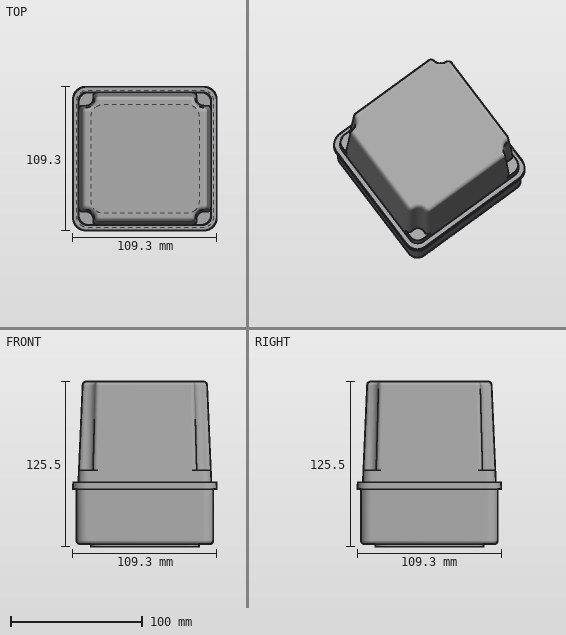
import cadquery as cq
import math

TOTAL_HEIGHT = 125.5
EDGE_RADIUS = 3.0
LID_DRAFT = math.tan(math.radians(2.5))

PAD_WIDTH = 82.2
PAD_HEIGHT = 2.0
PAD_CORNER_RADIUS = 9.0
BASE_WIDTH = 103.9
BASE_CORNER_RADIUS = 8.0
BASE_TOP = 43.8

RIM_WIDTH = 109.3
RIM_HEIGHT = 5.3
RIM_CORNER_RADIUS = 10.0
COVER_WIDTH = 101.0
COVER_CORNER_RADIUS = 7.2
COVER_BOTTOM = BASE_TOP + RIM_HEIGHT

RECESS_FLOOR = 58.0
RECESS_CENTER_X = 44.4
RECESS_CENTER_Y = 45.4
RECESS_RADIUS = 6.9
RECESS_DRAFT = 1.5
RECESS_WIDTH = 30.1


def rounded_prism(width, corner_radius, bottom, height):
    """Upright square block with rounded vertical edges."""
    return (
        cq.Workplane("XY", origin=(0, 0, bottom))
        .rect(width, width)
        .extrude(height)
        .edges("|Z")
        .fillet(corner_radius)
    )


def drafted_block(width, corner_radius, bottom, height):
    """Square block whose walls lean inward while its corner radius stays the same."""
    top_width = width - 2 * height * LID_DRAFT
    lower = cq.Sketch().rect(width, width).vertices().fillet(corner_radius)
    upper = cq.Sketch().rect(top_width, top_width).vertices().fillet(corner_radius)
    return (
        cq.Workplane("XY", origin=(0, 0, bottom))
        .placeSketch(lower, upper.moved(cq.Location(cq.Vector(0, 0, height))))
        .loft(ruled=True)
    )


def make_base():
    pad = rounded_prism(PAD_WIDTH, PAD_CORNER_RADIUS, 0, PAD_HEIGHT)
    box = rounded_prism(BASE_WIDTH, BASE_CORNER_RADIUS, PAD_HEIGHT, BASE_TOP - PAD_HEIGHT)
    return box.faces("<Z").edges().fillet(EDGE_RADIUS).union(pad)


def corner_recess(x_side, y_side):
    """Drafted cutter, rounded on its inner corner, that opens one corner of the lid."""
    axis_to_middle = RECESS_WIDTH / 2 - RECESS_RADIUS
    x_middle = x_side * (RECESS_CENTER_X + axis_to_middle)
    y_middle = y_side * (RECESS_CENTER_Y + axis_to_middle)
    outline = cq.Sketch().rect(RECESS_WIDTH, RECESS_WIDTH).vertices().fillet(RECESS_RADIUS)
    return (
        cq.Workplane("XY", origin=(x_middle, y_middle, TOTAL_HEIGHT))
        .placeSketch(outline)
        .extrude(RECESS_FLOOR - TOTAL_HEIGHT, taper=RECESS_DRAFT)
    )


def recess_mouth_edges(cover):
    """Upright edges where the recess walls meet the outer walls of the cover."""
    top_half_width = COVER_WIDTH / 2 - (TOTAL_HEIGHT - COVER_BOTTOM) * LID_DRAFT
    above_floor = cq.selectors.BoxSelector(
        (-COVER_WIDTH, -COVER_WIDTH, RECESS_FLOOR + EDGE_RADIUS),
        (COVER_WIDTH, COVER_WIDTH, TOTAL_HEIGHT - EDGE_RADIUS),
    )
    return cover.edges(above_floor).filter(
        lambda edge: max(abs(edge.Center().x), abs(edge.Center().y)) > top_half_width
    )


def make_lid():
    rim = drafted_block(RIM_WIDTH, RIM_CORNER_RADIUS, BASE_TOP, RIM_HEIGHT)
    cover = drafted_block(
        COVER_WIDTH, COVER_CORNER_RADIUS, COVER_BOTTOM, TOTAL_HEIGHT - COVER_BOTTOM
    )
    for x_side in (-1, 1):
        for y_side in (-1, 1):
            cover = cover.cut(corner_recess(x_side, y_side))
    top_edges = cover.faces(">Z").edges()
    cover = recess_mouth_edges(cover).add(top_edges).fillet(EDGE_RADIUS)
    return cover.union(rim)


base = make_base()
lid = make_lid()

result = cq.Compound.makeCompound([base.val(), lid.val()])